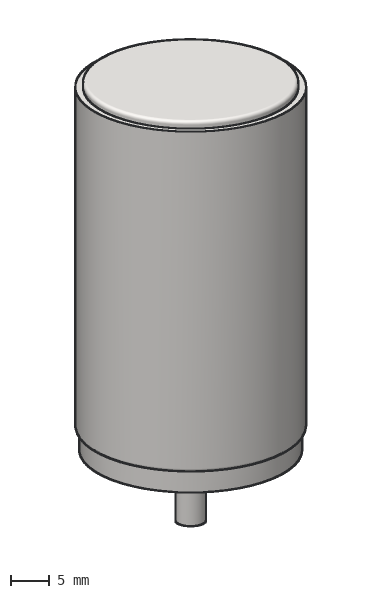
import cadquery as cq

can_diameter = 30.0
can_height = 48.0
can_bottom_fillet = 0.5

base_diameter = 29.0
base_height = 3.0

lid_diameter = 28.0
lid_height = 1.0
lid_fillet = 0.5

stud_diameter = 4.0
stud_length = 10.0

can_top = base_height + can_height


def disc(diameter, height, bottom):
    """Upright cylinder on the Z axis, starting at the given level."""
    return cq.Workplane("XY").workplane(offset=bottom).circle(diameter / 2).extrude(height)


stud = disc(stud_diameter, stud_length, -stud_length)
base = disc(base_diameter, base_height, 0)
can = disc(can_diameter, can_height, base_height).faces("<Z").edges().fillet(can_bottom_fillet)
lid = disc(lid_diameter, lid_height, can_top).faces(">Z").edges().fillet(lid_fillet)

result = can.union(base).union(lid).union(stud)